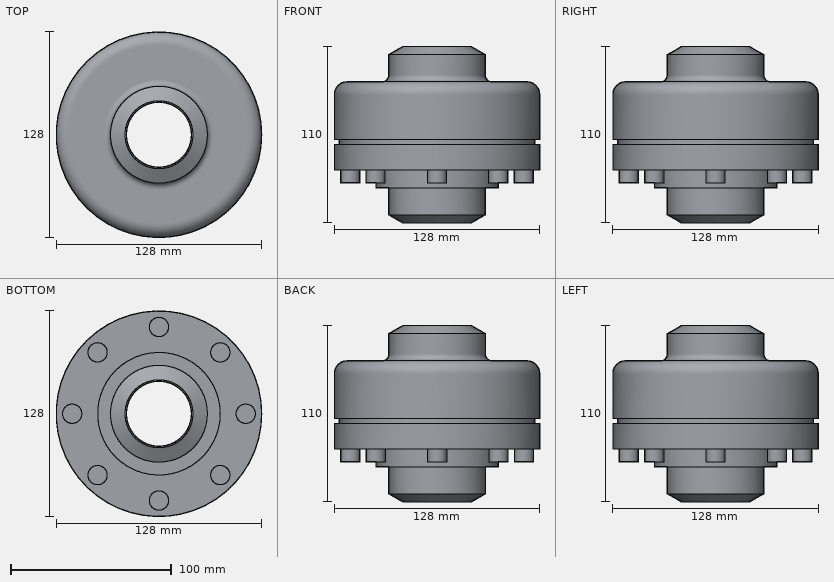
import cadquery as cq
import math

body_diameter = 128.0
gasket_diameter = 122.0
pipe_diameter = 60.3
bore_diameter = 40.3
hub_diameter = 76.3
bolt_diameter = 12.0

overall_height = 110.0
lower_pipe_length = 22.0
hub_height = 11.0
cover_thickness = 16.0
gasket_thickness = 3.0
body_height = 36.0

body_fillet = 8.0
neck_fillet = 4.0
weld_land = 1.0
weld_bevel_angle = 30.0

bolt_count = 8
bolt_circle_diameter = 108.0
bolt_protrusion = 8.0

hub_bottom = lower_pipe_length
cover_bottom = hub_bottom + hub_height
gasket_bottom = cover_bottom + cover_thickness
body_bottom = gasket_bottom + gasket_thickness
body_top = body_bottom + body_height
bevel_width = (pipe_diameter - bore_diameter) / 2 - weld_land
bevel_height = bevel_width * math.tan(math.radians(weld_bevel_angle))


def disc(diameter, bottom, top):
    """Solid cylinder on the Z axis between two levels."""
    return cq.Workplane("XY").workplane(offset=bottom).circle(diameter / 2).extrude(top - bottom)


def make_pipe():
    """Full-length pipe with both outer ends bevelled for welding."""
    pipe = disc(pipe_diameter, 0, overall_height)
    pipe = pipe.faces(">Z").chamfer(bevel_height, bevel_width)
    return pipe.faces("<Z").chamfer(bevel_height, bevel_width)


def make_body():
    """Main drum with a rounded upper rim."""
    return disc(body_diameter, body_bottom, body_top).faces(">Z").edges().fillet(body_fillet)


def make_neck_fillet():
    """Concave ring blending the upper pipe into the top of the body."""
    pipe_radius = pipe_diameter / 2
    foot_radius = pipe_radius + neck_fillet
    blend_top = body_top + neck_fillet
    arc_offset = neck_fillet * (1 - math.sqrt(0.5))
    inner_radius = (pipe_radius + bore_diameter / 2) / 2
    return (
        cq.Workplane("XZ")
        .moveTo(inner_radius, body_top)
        .lineTo(foot_radius, body_top)
        .threePointArc((pipe_radius + arc_offset, body_top + arc_offset), (pipe_radius, blend_top))
        .lineTo(inner_radius, blend_top)
        .close()
        .revolve(360, (0, 0, 0), (0, 1, 0))
    )


def make_bolts():
    """Ring of round bolt ends standing out below the cover."""
    return (
        cq.Workplane("XY")
        .workplane(offset=cover_bottom - bolt_protrusion)
        .polarArray(bolt_circle_diameter / 2, 0, 360, bolt_count, rotate=False)
        .circle(bolt_diameter / 2)
        .extrude(bolt_protrusion)
    )


hub = disc(hub_diameter, hub_bottom, cover_bottom)
cover = disc(body_diameter, cover_bottom, gasket_bottom)
gasket = disc(gasket_diameter, gasket_bottom, body_bottom)
bore = disc(bore_diameter, 0, overall_height)

result = (
    make_pipe()
    .union(hub)
    .union(cover)
    .union(gasket)
    .union(make_body())
    .union(make_neck_fillet())
    .union(make_bolts())
    .cut(bore)
)